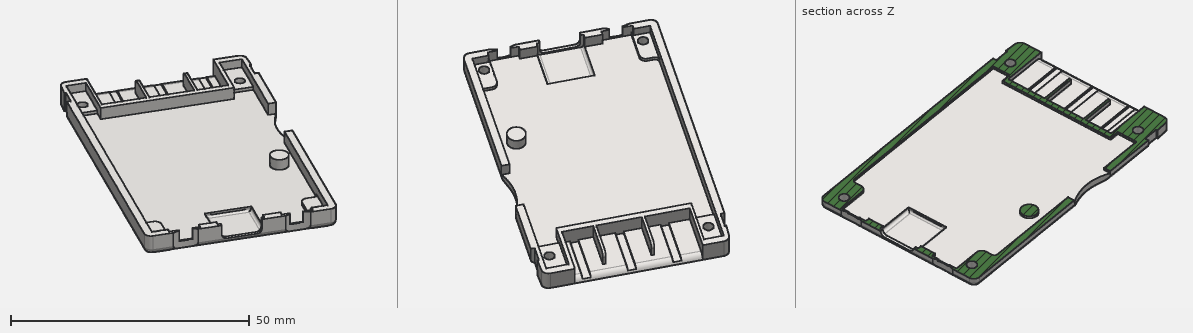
import cadquery as cq

length = 66.0
width = 41.95
height = 4.5
floor_z = 1.75
corner_radius = 1.5
bottom_fillet = 1.2

side_wall = 1.75
left_wall = 1.6
right_wall = 1.7
thin_wall = 0.75

narrow_length = 7.9
narrow_half_width = 20.1
lip_x = 4.3
lip_half_width = 20.45
left_corner_half_width = 20.3

bay_depth = 11.05
bay_top_y = 13.4
bay_bottom_y = -14.26
bay_end_wall = 1.35
bay_top_wall = 0.9
bay_bottom_wall = 0.65
bay_floor_z = 1.15
sill_radius = (left_wall**2 + bay_floor_z**2) / (2 * bay_floor_z)

groove_width = 1.8
groove_z = 0.6
groove_pitch = 9.8
groove_middle_y = 0.95
groove_count = 3

fin_thickness = 0.65
fin_start_x = 2.9
fin_nose_radius = 1.2
fin_centres_y = (6.3, -4.2)

hole_diameter = 2.2
hole_y = 17.2
left_hole_x = 6.8
right_hole_x = 62.3
pad_z = 2.5
left_pad_end_x = 9.95
right_pad_start_x = 57.1
right_pad_y = 15.4
right_pad_radius = 1.4
right_pad_flare_radius = 0.9

pin_diameter = 4.0
pin_x = 41.15
pin_y = 15.6
pin_z = 4.2

notch_start_x = 20.75
notch_end_x = 32.7
notch_depth = 1.55

relief_inner_y = 8.95
relief_outer_y = 15.7
scoop_centre_y = 12.3
scoop_mouth = 5.4
scoop_depth = 0.55
window_centre_y = 12.1
window_width = 2.9
window_z = 2.0

socket_half_width = 5.1
socket_start_x = 55.8
socket_z = 0.8
socket_side_radius = 0.7
socket_end_radius = 0.5
opening_half_width = 4.4
opening_z = 1.2
opening_radius = 1.1

half_width = width / 2
inner_half_width = half_width - side_wall
inner_right_x = length - right_wall
thin_inner_x = length - thin_wall


def block(x0, x1, y0, y1, z0, z1):
    """Axis-aligned box between two opposite corners."""
    return cq.Workplane("XY").box(x1 - x0, y1 - y0, z1 - z0, centered=False).translate((x0, y0, z0))


def mirror_y(shape):
    """The shape together with its mirror image across the XZ plane."""
    return shape.union(shape.mirror("XZ"))


def make_body():
    """Solid outer shape: a rounded slab with a narrower left end."""
    main = block(narrow_length, length, -half_width, half_width, 0, height)
    main = main.edges("|Z and >X").fillet(corner_radius)
    main = main.faces("<Z").edges("not <X").fillet(bottom_fillet)
    half_end = (
        cq.Workplane("XY")
        .moveTo(0, 0)
        .lineTo(0, left_corner_half_width - corner_radius)
        .radiusArc((corner_radius, left_corner_half_width), corner_radius)
        .lineTo(lip_x, lip_half_width)
        .lineTo(lip_x, narrow_half_width)
        .lineTo(narrow_length, narrow_half_width)
        .lineTo(narrow_length, 0)
        .close()
        .extrude(height)
    )
    return main.union(mirror_y(half_end))


def make_cavity():
    """Open tray volume above the floor, leaving the rim."""
    cavity = block(left_wall, inner_right_x, -inner_half_width, inner_half_width, floor_z, height)
    relief = block(inner_right_x, thin_inner_x, relief_inner_y, relief_outer_y, floor_z, height)
    return cavity.union(mirror_y(relief))


def make_pads():
    """Raised pads under the four screw holes."""
    left = block(left_wall, left_pad_end_x, 0, inner_half_width, 0, pad_z)
    left = left.cut(block(0, length, 0, bay_top_y, 0, height))
    right = block(right_pad_start_x, thin_inner_x, right_pad_y, inner_half_width, 0, pad_z)
    right = right.edges("|Z and <X and <Y").fillet(right_pad_radius)
    flare = (
        cq.Workplane("XY")
        .moveTo(right_pad_start_x, inner_half_width)
        .lineTo(right_pad_start_x - right_pad_flare_radius, inner_half_width)
        .radiusArc((right_pad_start_x, inner_half_width - right_pad_flare_radius), right_pad_flare_radius)
        .close()
        .extrude(pad_z)
    )
    return mirror_y(left.union(right).union(flare))


def make_bay_walls():
    """Solid block that becomes the three-sided wall of the connector bay."""
    return block(
        0, bay_depth + bay_end_wall,
        bay_bottom_y - bay_bottom_wall, bay_top_y + bay_top_wall,
        0, height,
    )


def make_bay_cut():
    """Bay volume: rounded sill at the left edge, flat floor and grooves."""
    cut = (
        cq.Workplane("XZ")
        .moveTo(0, 0)
        .radiusArc((left_wall, bay_floor_z), sill_radius)
        .lineTo(bay_depth, bay_floor_z)
        .lineTo(bay_depth, height)
        .lineTo(0, height)
        .close()
        .extrude(bay_bottom_y - bay_top_y)
        .translate((0, bay_bottom_y, 0))
    )
    for index in range(groove_count):
        groove_y = groove_middle_y + (index - (groove_count - 1) / 2) * groove_pitch
        groove = block(
            0, bay_depth,
            groove_y - groove_width / 2, groove_y + groove_width / 2,
            groove_z, height,
        )
        cut = cut.union(groove)
    return cut


def make_fins():
    """Dividing fins in the bay with rounded top noses."""
    fins = cq.Workplane("XY")
    for fin_y in fin_centres_y:
        fin = block(
            fin_start_x, bay_depth,
            fin_y - fin_thickness / 2, fin_y + fin_thickness / 2,
            bay_floor_z, height,
        )
        fins = fins.union(fin.edges("|Y and <X and >Z").fillet(fin_nose_radius))
    return fins


def make_finger_notch():
    """Shallow arc through the +Y edge, with the rim removed along it."""
    middle_x = (notch_start_x + notch_end_x) / 2
    arc = (
        cq.Workplane("XY")
        .moveTo(notch_start_x, half_width)
        .threePointArc((middle_x, half_width - notch_depth), (notch_end_x, half_width))
        .close()
        .extrude(height)
    )
    return arc.union(block(notch_start_x, notch_end_x, inner_half_width, half_width, floor_z, height))


def make_latch_windows():
    """Arc-shaped scoops outside the right wall that open through the thin wall."""
    scoop = (
        cq.Workplane("XY")
        .moveTo(length, scoop_centre_y - scoop_mouth / 2)
        .threePointArc((length - scoop_depth, scoop_centre_y), (length, scoop_centre_y + scoop_mouth / 2))
        .close()
        .extrude(height)
    )
    window = block(
        thin_inner_x, length,
        window_centre_y - window_width / 2, window_centre_y + window_width / 2,
        window_z, height,
    )
    return mirror_y(scoop.union(window))


def make_socket_cut():
    """Recess in the floor for a socket and its opening in the right wall."""
    recess = block(socket_start_x, thin_inner_x, -socket_half_width, socket_half_width, socket_z, height)
    side_rounded = recess.edges("|X and <Z").fillet(socket_side_radius)
    end_rounded = recess.edges("|Y and <X and <Z").fillet(socket_end_radius)
    recess = side_rounded.intersect(end_rounded)
    opening = block(socket_start_x, length, -opening_half_width, opening_half_width, opening_z, height)
    opening = opening.edges("|X and <Z").fillet(opening_radius)
    return recess.union(opening)


def make_holes():
    """Four screw holes through the corner pads."""
    centres = [(x, y) for x in (left_hole_x, right_hole_x) for y in (-hole_y, hole_y)]
    return cq.Workplane("XY").pushPoints(centres).circle(hole_diameter / 2).extrude(height)


pin = cq.Workplane("XY").center(pin_x, pin_y).circle(pin_diameter / 2).extrude(pin_z)

result = (
    make_body()
    .cut(make_cavity())
    .union(make_pads())
    .union(make_bay_walls())
    .cut(make_bay_cut())
    .union(make_fins())
    .union(pin)
    .cut(make_finger_notch())
    .cut(make_latch_windows())
    .cut(make_socket_cut())
    .cut(make_holes())
)